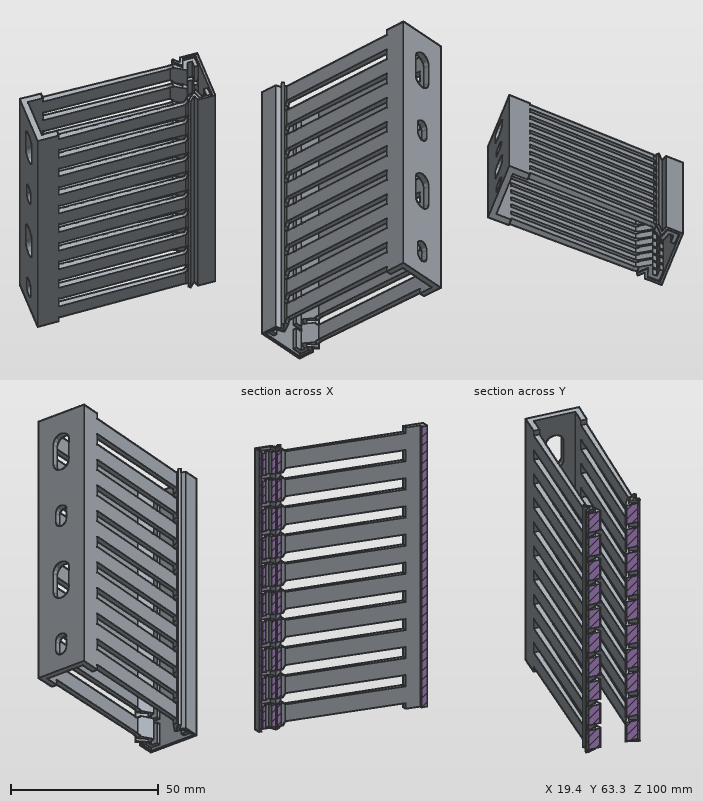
import cadquery as cq

width = 19.4
height = 63.3
length = 100.0

half_width = width / 2

cover_wall = 0.8
lip_outer_x = half_width - cover_wall
groove_top_y = height - 5.4
groove_x = 6.0
groove_bottom_y = height - 6.4
flare_foot_x = 8.2
flare_foot_y = groove_bottom_y - (flare_foot_x - groove_x)

inner_x = 7.5
floor_thickness = half_width - inner_x
bend_x = 9.0
bend_y = height - 10.4
lip_thickness = lip_outer_x - inner_x
lip_top_y = height - 1.2
lip_end_x = 5.1
hook_top_y = height - 4.2
hook_tip_x = 4.4
hook_tip_y = height - 5.4

pitch = 10.0
finger_count = round(length / pitch)
slot_width = 4.0
slot_bottom_y = 7.6
slot_top_y = height - 9.1
neck_width = 2.0

hole_pair_pitch = 50.0
hole_pair_count = 2
small_hole_z = 10.0
small_hole_length = 8.0
small_hole_width = 4.5
large_hole_z = 35.0
large_hole_length = 14.0
large_hole_width = 6.6

cover_thickness = 0.9
cover_notch_top_y = height - 6.2
cover_notch_x = 7.8
cover_notch_y = height - 6.9
cover_tip_y = height - 8.8
cover_tip_width = 0.7


def extrude_symmetric(right_half):
    """Extrude a section along Z from its +X half, listed from the middle plane and back to it."""
    left_half = [(-x, y) for x, y in reversed(right_half)]
    return cq.Workplane("XY").polyline(right_half + left_half).close().extrude(length)


def make_duct_channel():
    return extrude_symmetric([
        (half_width, 0),
        (bend_x, bend_y),
        (flare_foot_x, flare_foot_y),
        (groove_x, groove_bottom_y),
        (lip_outer_x, groove_top_y),
        (lip_outer_x, lip_top_y),
        (lip_end_x, lip_top_y),
        (lip_end_x, lip_top_y - lip_thickness),
        (inner_x, lip_top_y - lip_thickness),
        (inner_x, hook_top_y),
        (hook_tip_x, hook_tip_y),
        (inner_x, bend_y),
        (inner_x, floor_thickness),
    ])


def make_side_slot(z):
    """One slot through both walls: square at the floor, round at the top, with a narrow neck above."""
    radius = slot_width / 2
    round_y = slot_top_y - radius
    body_height = round_y - slot_bottom_y
    body = cq.Workplane("XY").box(width, body_height, slot_width).translate(
        (0, slot_bottom_y + body_height / 2, z)
    )
    round_end = (
        cq.Workplane("YZ").center(round_y, z).circle(radius).extrude(half_width, both=True)
    )
    neck_height = height - round_y
    neck = cq.Workplane("XY").box(width, neck_height, neck_width).translate(
        (0, round_y + neck_height / 2, z)
    )
    return body.union(round_end).union(neck)


def make_floor_hole(z, hole_length, hole_width):
    return (
        cq.Workplane("XZ")
        .center(0, z)
        .slot2D(hole_length, hole_width, 90)
        .extrude(-floor_thickness)
    )


def make_duct():
    duct = make_duct_channel()
    for i in range(finger_count + 1):
        duct = duct.cut(make_side_slot(i * pitch))
    for i in range(hole_pair_count):
        pair_z = i * hole_pair_pitch
        duct = duct.cut(make_floor_hole(pair_z + small_hole_z, small_hole_length, small_hole_width))
        duct = duct.cut(make_floor_hole(pair_z + large_hole_z, large_hole_length, large_hole_width))
    return duct


def make_cover():
    tip_inner_x = half_width - cover_tip_width
    return extrude_symmetric([
        (lip_outer_x, height - cover_thickness),
        (lip_outer_x, groove_top_y),
        (groove_x, groove_bottom_y),
        (tip_inner_x, groove_bottom_y - (tip_inner_x - groove_x)),
        (half_width, cover_tip_y),
        (cover_notch_x, cover_notch_y),
        (half_width, cover_notch_top_y),
        (half_width, height),
    ])


duct = make_duct()
cover = make_cover()

result = cq.Compound.makeCompound([duct.val(), cover.val()])